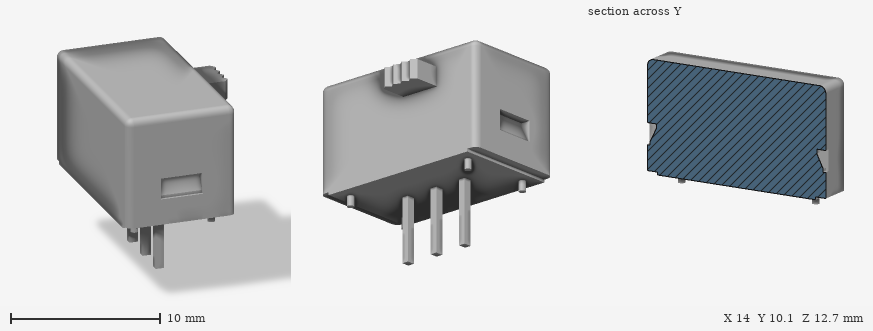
import cadquery as cq

BODY_LENGTH = 14.0
BODY_WIDTH = 7.8
BODY_HEIGHT = 8.0
EDGE_RADIUS = 0.5
END_STEP_LENGTH = 0.8
END_STEP_HEIGHT = 0.2

WINDOW_WIDTH = 3.0
WINDOW_HEIGHT = 1.5
WINDOW_BOTTOM = 2.03
LATCH_LIP_DEPTH = 0.2
LATCH_LIP_HEIGHT = 0.2
LATCH_RAMP_DEPTH = 0.5
LATCH_RAMP_HEIGHT = 1.0

LEVER_LENGTH = 3.0
LEVER_CENTER_X = -2.0
LEVER_REACH = 2.3
LEVER_HEIGHT = 1.4
LEVER_TOP_GAP = 1.25
TOOTH_COUNT = 4
TOOTH_DEPTH = 0.3
TOOTH_PITCH = LEVER_LENGTH / TOOTH_COUNT

PIN_COUNT = 3
PIN_PITCH = 2.54
PIN_THICKNESS = 0.5
PIN_WIDTH = 0.6
PIN_LENGTH = 4.72
PEG_DIAMETER = 0.5
PEG_LENGTH = 0.75
PEG_SPACING_X = 10.5
PEG_SPACING_Y = 5.5


def make_housing():
    """Box with rounded upright and top edges, stepped up along both ends."""
    housing = (
        cq.Workplane("XY")
        .box(BODY_LENGTH, BODY_WIDTH, BODY_HEIGHT, centered=(True, True, False))
        .edges("|Z or >Z")
        .fillet(EDGE_RADIUS)
    )
    step_centers = [(side * (BODY_LENGTH - END_STEP_LENGTH) / 2, 0) for side in (-1, 1)]
    end_steps = (
        cq.Workplane("XY")
        .pushPoints(step_centers)
        .rect(END_STEP_LENGTH, BODY_WIDTH)
        .extrude(END_STEP_HEIGHT)
    )
    return housing.cut(end_steps)


def make_latch_window():
    """Pocket in the -X wall: a low lip, then a ramp that deepens upwards."""
    wall_x = -BODY_LENGTH / 2
    lip_x = wall_x + LATCH_LIP_DEPTH
    back_x = lip_x + LATCH_RAMP_DEPTH
    lip_top = WINDOW_BOTTOM + LATCH_LIP_HEIGHT
    window_top = WINDOW_BOTTOM + WINDOW_HEIGHT
    return (
        cq.Workplane("XZ")
        .moveTo(wall_x, WINDOW_BOTTOM)
        .lineTo(lip_x, WINDOW_BOTTOM)
        .lineTo(lip_x, lip_top)
        .lineTo(back_x, lip_top + LATCH_RAMP_HEIGHT)
        .lineTo(back_x, window_top)
        .lineTo(wall_x, window_top)
        .close()
        .extrude(WINDOW_WIDTH / 2, both=True)
    )


def make_lever():
    """Rectangular lever whose outer end is a row of triangular teeth."""
    wall_y = BODY_WIDTH / 2
    tip_y = wall_y + LEVER_REACH
    root_y = tip_y - TOOTH_DEPTH
    left_x = LEVER_CENTER_X - LEVER_LENGTH / 2
    lever_bottom = BODY_HEIGHT - LEVER_TOP_GAP - LEVER_HEIGHT
    outline = (
        cq.Workplane("XY")
        .workplane(offset=lever_bottom)
        .moveTo(left_x, wall_y)
        .lineTo(left_x, root_y)
    )
    for tooth in range(TOOTH_COUNT):
        tooth_x = left_x + tooth * TOOTH_PITCH
        outline = outline.lineTo(tooth_x + TOOTH_PITCH / 2, tip_y).lineTo(tooth_x + TOOTH_PITCH, root_y)
    return outline.lineTo(left_x + LEVER_LENGTH, wall_y).close().extrude(LEVER_HEIGHT)


def make_pins():
    """Row of rectangular terminal pins along X, pointing down."""
    return (
        cq.Workplane("XY")
        .rarray(PIN_PITCH, 1, PIN_COUNT, 1)
        .rect(PIN_THICKNESS, PIN_WIDTH)
        .extrude(-PIN_LENGTH)
    )


def make_pegs():
    """Round locating peg near each corner of the underside."""
    return (
        cq.Workplane("XY")
        .rarray(PEG_SPACING_X, PEG_SPACING_Y, 2, 2)
        .circle(PEG_DIAMETER / 2)
        .extrude(-PEG_LENGTH)
    )


latch_window = make_latch_window()
result = (
    make_housing()
    .cut(latch_window)
    .cut(latch_window.mirror("YZ"))
    .union(make_lever())
    .union(make_pins())
    .union(make_pegs())
)